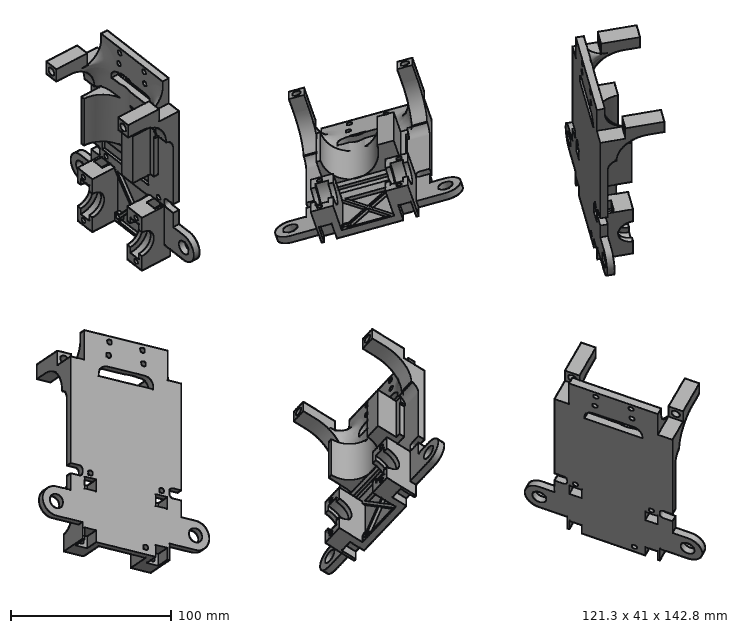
import cadquery as cq
import math

BACK_Y = 0.0
SIDES = (-1, 1)

OVERALL_WIDTH = 121.3
OVERALL_HEIGHT = 142.8
OVERALL_DEPTH = 41.0

BASE_THICKNESS = 4.8
BODY_HALF_WIDTH = 40.35
FOOT_HALF_WIDTH = 31.7
FOOT_HALF_HEIGHT = 21.4
NOTCH_HEIGHT = 6.9
NOTCH_CORNER_RADIUS = 2.4
LUG_RADIUS = 10.0
LUG_CENTRE_X = OVERALL_WIDTH / 2 - LUG_RADIUS
LUG_HOLE_DIAMETER = 9.5
SCREW_DIAMETER = 3.5
PLATE_SCREW_Z = 24.8

POST_SIZE = 10.0
COLUMN_TOP_Z = 101.2
COLUMN_INNER_X = BODY_HALF_WIDTH - POST_SIZE
COLUMN_ARC_RADIUS = 20.0
COLUMN_ARC_BOTTOM_Z = COLUMN_TOP_Z - COLUMN_ARC_RADIUS
COLUMN_WAIST_Y = -10.4
LEDGE_Y = -9.6
FOOT_FILLET_DROP = 7.3
POST_BACK_Y = -16.1
POST_FRONT_Y = BACK_Y - OVERALL_DEPTH
POST_HOLE_DIAMETER = 5.5

UPPER_THICKNESS = 5.1
UPPER_TOP_Z = OVERALL_HEIGHT - FOOT_HALF_HEIGHT
SLOT_HALF_WIDTH = 19.8
SLOT_BOTTOM_Z = 92.5
SLOT_TOP_Z = 100.4
SLOT_CORNER_RADIUS = 6.5
UPPER_SCREWS = ((12.0, 117.4), (12.7, 108.3))

FLARE_RADIUS = 15.0
FLARE_BOTTOM_RADIUS = 11.5
FLARE_STRAIGHT_DROP = 2.3
FLARE_STEPS = 4

CRADLE_FRONT_Y = -22.9
CRADLE_BOTTOM_Z = 43.3
CRADLE_BORE_RADIUS = 18.5
CRADLE_AXIS_X = -6.8
CRADLE_LEFT_X = -28.0
CRADLE_RIGHT_X = 22.5
PEDESTAL_LEFT_X = -28.6
PEDESTAL_RIGHT_X = 25.75
PEDESTAL_Y = -8.5
SHOULDER_RIGHT_X = 27.1
SHOULDER_BOTTOM_Z = 75.3

POCKET_X = (-29.5, 15.8)
POCKET_Z = (28.3, 37.4)
POCKET_DEPTH = 2.0

BEARING_INNER_X = 17.1
BEARING_FRONT_Y = CRADLE_FRONT_Y
BEARING_BORE_RADIUS = 9.6
BEARING_GROOVE_RADIUS = 14.1
BEARING_GROOVE_X = (20.25, 28.55)
BEARING_SCREW_X = 25.9
BEARING_SCREW_Z = 17.5
NUT_SLOT_WIDTH = 8.4
NUT_SLOT_FRONT_Y = -11.0

RECESS_HALF_HEIGHT = 19.6
RECESS_DEPTH = 2.3
RIB_WIDTH = 2.0
RIB_END_X = 15.95
DRAIN_X = -14.3
DRAIN_Z = -16.6
DRAIN_BOSS_RADIUS = 3.1


def box(x_range, y_range, z_range):
    """Box between two limits along each axis, given in either order."""
    x_min, x_max = sorted(x_range)
    y_min, y_max = sorted(y_range)
    z_min, z_max = sorted(z_range)
    block = cq.Workplane("XY").box(x_max - x_min, y_max - y_min, z_max - z_min, centered=False)
    return block.translate((x_min, y_min, z_min))


def rod_along_y(x, z, radius, front_y):
    """Cylinder parallel to Y, from the back of the plate to a front position."""
    circle = cq.Workplane("XZ", origin=(x, BACK_Y, z)).circle(radius)
    return circle.extrude(BACK_Y - front_y)


def base_plate():
    y_range = (-BASE_THICKNESS, BACK_Y)
    foot_z = (-FOOT_HALF_HEIGHT, FOOT_HALF_HEIGHT)
    body_z = (-LUG_RADIUS, COLUMN_ARC_BOTTOM_Z)
    plate = box((-BODY_HALF_WIDTH, BODY_HALF_WIDTH), y_range, body_z)
    plate = plate.union(box((-FOOT_HALF_WIDTH, FOOT_HALF_WIDTH), y_range, foot_z))
    plate = plate.union(box((-LUG_CENTRE_X, LUG_CENTRE_X), y_range, (-LUG_RADIUS, LUG_RADIUS)))
    notch_z = (FOOT_HALF_HEIGHT, FOOT_HALF_HEIGHT + NOTCH_HEIGHT)
    for side in SIDES:
        lug_x = side * LUG_CENTRE_X
        plate = plate.union(rod_along_y(lug_x, 0, LUG_RADIUS, -BASE_THICKNESS))
        plate = plate.cut(rod_along_y(lug_x, 0, LUG_HOLE_DIAMETER / 2, -BASE_THICKNESS))
        notch = box((side * FOOT_HALF_WIDTH, side * (BODY_HALF_WIDTH + NOTCH_HEIGHT)), y_range, notch_z)
        plate = plate.cut(notch.edges("|Y").fillet(NOTCH_CORNER_RADIUS))
    return plate


def ledge_to_plate_arc_middle():
    """Middle point of the arc that leaves the base plate tangentially and ends at the ledge."""
    rise = FOOT_FILLET_DROP
    run = -BASE_THICKNESS - LEDGE_Y
    radius = (rise**2 + run**2) / (2 * run)
    half_angle = math.asin(rise / radius) / 2
    middle_y = -BASE_THICKNESS - radius * (1 - math.cos(half_angle))
    return middle_y, COLUMN_ARC_BOTTOM_Z - rise + radius * math.sin(half_angle)


def column_profile(x_start, length):
    """Column side outline extruded along +X."""
    arc_centre_y = COLUMN_WAIST_Y - COLUMN_ARC_RADIUS
    diagonal = COLUMN_ARC_RADIUS * math.sqrt(0.5)
    arc_middle = (arc_centre_y + diagonal, COLUMN_ARC_BOTTOM_Z + diagonal)
    foot_z = COLUMN_ARC_BOTTOM_Z - FOOT_FILLET_DROP
    outline = (
        cq.Workplane("YZ", origin=(x_start, 0, 0))
        .moveTo(BACK_Y, foot_z)
        .lineTo(BACK_Y, COLUMN_TOP_Z)
        .lineTo(arc_centre_y, COLUMN_TOP_Z)
        .threePointArc(arc_middle, (COLUMN_WAIST_Y, COLUMN_ARC_BOTTOM_Z))
        .lineTo(LEDGE_Y, COLUMN_ARC_BOTTOM_Z)
        .threePointArc(ledge_to_plate_arc_middle(), (-BASE_THICKNESS, foot_z))
        .close()
    )
    return outline.extrude(length)


def column_with_post(side):
    left_x = min(side * COLUMN_INNER_X, side * BODY_HALF_WIDTH)
    post_top_z = COLUMN_TOP_Z + POST_SIZE
    post_x = (left_x, left_x + POST_SIZE)
    column = column_profile(left_x, POST_SIZE)
    column = column.union(box(post_x, (POST_FRONT_Y, POST_BACK_Y), (COLUMN_TOP_Z, post_top_z)))
    hole_x = left_x + POST_SIZE / 2
    hole_z = COLUMN_TOP_Z + POST_SIZE / 2
    hole = rod_along_y(hole_x, hole_z, POST_HOLE_DIAMETER / 2, POST_FRONT_Y)
    return column.cut(hole)


def foot_fillet_strip(side):
    """Lower column fillet, carried inward to the cradle pedestal."""
    inner_x = PEDESTAL_LEFT_X if side < 0 else PEDESTAL_RIGHT_X
    left_x = min(inner_x, side * COLUMN_INNER_X)
    strip = column_profile(left_x, abs(side * COLUMN_INNER_X - inner_x))
    below_ledge = (COLUMN_ARC_BOTTOM_Z - FOOT_FILLET_DROP, COLUMN_ARC_BOTTOM_Z)
    x_range = (-BODY_HALF_WIDTH, BODY_HALF_WIDTH)
    return strip.intersect(box(x_range, (POST_FRONT_Y, BACK_Y), below_ledge))


def pedestal_shoulder(front_y, back_y):
    """Wider top right end of the cradle pedestal, between two positions along Y."""
    x_range = (PEDESTAL_RIGHT_X, SHOULDER_RIGHT_X)
    return box(x_range, (front_y, back_y), (SHOULDER_BOTTOM_Z, COLUMN_ARC_BOTTOM_Z))


def flare_section(z, width, depth):
    """Concave quarter-ellipse corner section between the upper plate and the left column."""
    return (
        cq.Workplane("XY", origin=(-COLUMN_INNER_X, -UPPER_THICKNESS, z))
        .center(width, -depth)
        .ellipseArc(width, depth, 90, 180, startAtCurrent=False)
        .lineTo(-width, depth)
        .close()
    )


def lower_flare_section(fraction):
    """Flare section at a fraction of the way from its straight part down to the ledge."""
    start_z = COLUMN_TOP_Z - FLARE_STRAIGHT_DROP
    z = start_z + fraction * (COLUMN_ARC_BOTTOM_Z - start_z)
    shrink = 1 - (FLARE_BOTTOM_RADIUS / FLARE_RADIUS) ** 2
    width = FLARE_RADIUS * math.sqrt(1 - shrink * fraction**2)
    column_reach = math.sqrt(COLUMN_ARC_RADIUS**2 - (z - COLUMN_ARC_BOTTOM_Z) ** 2)
    column_front_y = COLUMN_WAIST_Y - COLUMN_ARC_RADIUS + column_reach
    depth = min(FLARE_RADIUS, -UPPER_THICKNESS - column_front_y)
    return flare_section(z, width, depth)


def lower_flare():
    """Corner flare below the column top, narrowing with the column front toward the ledge."""
    fractions = [step / FLARE_STEPS for step in range(FLARE_STEPS + 1)]
    wires = [lower_flare_section(fraction).wire().val() for fraction in fractions]
    flare = cq.Workplane(cq.Solid.makeLoft(wires))
    straight_z = COLUMN_TOP_Z - FLARE_STRAIGHT_DROP
    straight = flare_section(straight_z, FLARE_RADIUS, FLARE_RADIUS).extrude(FLARE_STRAIGHT_DROP)
    return flare.union(straight)


def upper_flare():
    """Quarter of a trumpet whose axis runs along Y at the column's inner top edge."""
    profile = flare_section(COLUMN_TOP_Z, FLARE_RADIUS, FLARE_RADIUS)
    return profile.revolve(90, (-FLARE_RADIUS, 0, 0), (-FLARE_RADIUS, -1, 0))


def upper_plate():
    x_range = (-COLUMN_INNER_X, COLUMN_INNER_X)
    plate = box(x_range, (-UPPER_THICKNESS, BACK_Y), (COLUMN_ARC_BOTTOM_Z, UPPER_TOP_Z))
    left_flare = lower_flare().union(upper_flare())
    plate = plate.union(left_flare).union(left_flare.mirror("YZ"))
    slot_x = (-SLOT_HALF_WIDTH, SLOT_HALF_WIDTH)
    slot = box(slot_x, (POST_FRONT_Y, BACK_Y), (SLOT_BOTTOM_Z, SLOT_TOP_Z))
    plate = plate.cut(slot.edges("|Y and >Z").fillet(SLOT_CORNER_RADIUS))
    for side in SIDES:
        for x, z in UPPER_SCREWS:
            plate = plate.cut(rod_along_y(side * x, z, SCREW_DIAMETER / 2, POST_FRONT_Y))
    return plate


def cradle():
    outline = (
        cq.Workplane("XY", origin=(0, 0, CRADLE_BOTTOM_Z))
        .moveTo(PEDESTAL_LEFT_X, BACK_Y)
        .lineTo(PEDESTAL_LEFT_X, -BASE_THICKNESS)
        .lineTo(CRADLE_LEFT_X, PEDESTAL_Y)
        .lineTo(CRADLE_LEFT_X, CRADLE_FRONT_Y)
        .lineTo(CRADLE_RIGHT_X, CRADLE_FRONT_Y)
        .lineTo(CRADLE_RIGHT_X, PEDESTAL_Y)
        .lineTo(PEDESTAL_RIGHT_X, PEDESTAL_Y)
        .lineTo(PEDESTAL_RIGHT_X, BACK_Y)
        .close()
    )
    return outline.extrude(COLUMN_ARC_BOTTOM_Z - CRADLE_BOTTOM_Z)


def cradle_bore():
    """Motor clearance through the cradle, grazing the upper plate up to the column top."""
    circle = cq.Workplane("XY", origin=(CRADLE_AXIS_X, CRADLE_FRONT_Y, CRADLE_BOTTOM_Z))
    return circle.circle(CRADLE_BORE_RADIUS).extrude(COLUMN_TOP_Z - CRADLE_BOTTOM_Z)


def bearing_bore(radius, x_range):
    circle = cq.Workplane("YZ", origin=(x_range[0], BEARING_FRONT_Y, 0)).circle(radius)
    return circle.extrude(x_range[1] - x_range[0])


def bearing_block():
    """Bearing block on the +X side, standing on the base plate."""
    x_range = (BEARING_INNER_X, FOOT_HALF_WIDTH)
    block = box(x_range, (BEARING_FRONT_Y, BACK_Y), (-FOOT_HALF_HEIGHT, FOOT_HALF_HEIGHT))
    block = block.cut(bearing_bore(BEARING_BORE_RADIUS, x_range))
    return block.cut(bearing_bore(BEARING_GROOVE_RADIUS, BEARING_GROOVE_X))


def bearing_fastener_cuts():
    """Screw holes of the +X bearing block and the open-ended nut slots behind them."""
    half_width = NUT_SLOT_WIDTH / 2
    slot_x = (BEARING_SCREW_X - half_width, BEARING_SCREW_X + half_width)
    cuts = rod_along_y(BEARING_SCREW_X, PLATE_SCREW_Z, SCREW_DIAMETER / 2, BEARING_FRONT_Y)
    for end in SIDES:
        screw_z = end * BEARING_SCREW_Z
        slot_z = (screw_z - end * half_width, end * FOOT_HALF_HEIGHT)
        cuts = cuts.union(rod_along_y(BEARING_SCREW_X, screw_z, SCREW_DIAMETER / 2, BEARING_FRONT_Y))
        cuts = cuts.union(box(slot_x, (NUT_SLOT_FRONT_Y, BACK_Y), slot_z))
    return cuts


def ribbed_recess():
    """Recess between the bearing blocks, leaving two crossed ribs and a boss standing."""
    floor_y = RECESS_DEPTH - BASE_THICKNESS
    y_range = (-BASE_THICKNESS, floor_y)
    recess = box(
        (-BEARING_INNER_X, BEARING_INNER_X), y_range, (-RECESS_HALF_HEIGHT, RECESS_HALF_HEIGHT)
    )
    rib_half_length = FOOT_HALF_HEIGHT + BEARING_INNER_X
    rib = box((-rib_half_length, rib_half_length), y_range, (-RIB_WIDTH / 2, RIB_WIDTH / 2))
    rib_angle = math.degrees(math.atan2(RECESS_HALF_HEIGHT, RIB_END_X))
    for direction in SIDES:
        recess = recess.cut(rib.rotate((0, 0, 0), (0, 1, 0), direction * rib_angle))
    return recess.cut(rod_along_y(DRAIN_X, DRAIN_Z, DRAIN_BOSS_RADIUS, -BASE_THICKNESS))


def build_part():
    part = base_plate().union(upper_plate()).union(cradle())
    for side in SIDES:
        part = part.union(column_with_post(side)).union(foot_fillet_strip(side))
    part = part.union(pedestal_shoulder(PEDESTAL_Y, BACK_Y))
    part = part.cut(pedestal_shoulder(LEDGE_Y, PEDESTAL_Y))
    block = bearing_block()
    part = part.union(block).union(block.mirror("YZ"))

    fastener_cuts = bearing_fastener_cuts()
    part = part.cut(fastener_cuts).cut(fastener_cuts.mirror("YZ"))
    part = part.cut(cradle_bore())
    part = part.cut(ribbed_recess())
    part = part.cut(rod_along_y(DRAIN_X, DRAIN_Z, SCREW_DIAMETER / 2, -BASE_THICKNESS))
    return part.cut(box(POCKET_X, (-BASE_THICKNESS, POCKET_DEPTH - BASE_THICKNESS), POCKET_Z))


result = build_part()